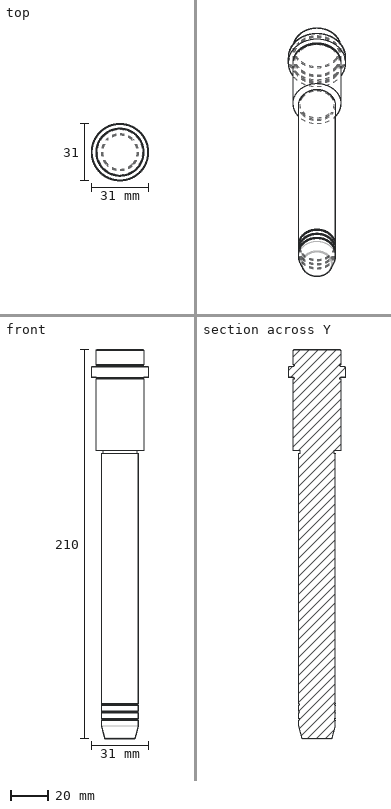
import cadquery as cq

total_length = 210.0

head_radius = 13.0
flange_radius = 15.5
pin_radius = 10.0
tip_radius = 8.2

flange_top_depth = 9.0
body_end_depth = 54.5
flange_thickness = 6.0
lead_in_length = 7.0

flange_chamfer = 0.5
head_chamfer = 0.5
tip_fillet = 0.5

neck_groove_width = 1.0
undercut_depth = 0.75
pin_undercut_width = 1.5

groove_count = 3
groove_width = 1.0
groove_depth = 0.5
first_groove_height = 10.5
groove_pitch = 4.0

flange_top = total_length - flange_top_depth
flange_bottom = flange_top - flange_thickness
body_bottom = total_length - body_end_depth
pin_top = body_bottom - pin_undercut_width


def cylinder(radius, bottom, top):
    """Solid cylinder on the Z axis between two heights."""
    return cq.Workplane("XY").workplane(offset=bottom).circle(radius).extrude(top - bottom)


def v_groove(radius, height, width, depth):
    """Cutter for a V groove around a cylinder, centred at the given height."""
    return (
        cq.Workplane("XZ")
        .moveTo(radius - depth, height)
        .lineTo(radius, height + width / 2)
        .lineTo(radius, height - width / 2)
        .close()
        .revolve(360, (0, 0), (0, 1))
    )


def make_lead_in():
    """Tapered end with a rounded tip that guides the pin into its bushing."""
    return (
        cq.Workplane("XZ")
        .lineTo(tip_radius, 0)
        .lineTo(pin_radius, lead_in_length)
        .lineTo(0, lead_in_length)
        .close()
        .revolve(360, (0, 0), (0, 1))
        .faces("<Z")
        .edges()
        .fillet(tip_fillet)
    )


def make_flange():
    """Locating flange with a chamfered upper rim."""
    return (
        cylinder(flange_radius, flange_bottom, flange_top)
        .faces(">Z")
        .edges()
        .chamfer(flange_chamfer)
    )


def make_head_and_body():
    """Large cylinder with a chamfered top rim, running from the head end to the pin shoulder."""
    return (
        cylinder(head_radius, body_bottom, total_length)
        .faces(">Z")
        .edges()
        .chamfer(head_chamfer)
    )


def make_blank():
    """Stepped pin before the V grooves are cut."""
    return (
        make_lead_in()
        .union(cylinder(pin_radius, lead_in_length, pin_top))
        .union(cylinder(pin_radius - undercut_depth, pin_top, body_bottom))
        .union(make_head_and_body())
        .union(make_flange())
    )


result = make_blank()

for neck_height in (flange_top + neck_groove_width / 2, flange_bottom - neck_groove_width / 2):
    result = result.cut(v_groove(head_radius, neck_height, neck_groove_width, undercut_depth))

for index in range(groove_count):
    groove_height = first_groove_height + index * groove_pitch
    result = result.cut(v_groove(pin_radius, groove_height, groove_width, groove_depth))